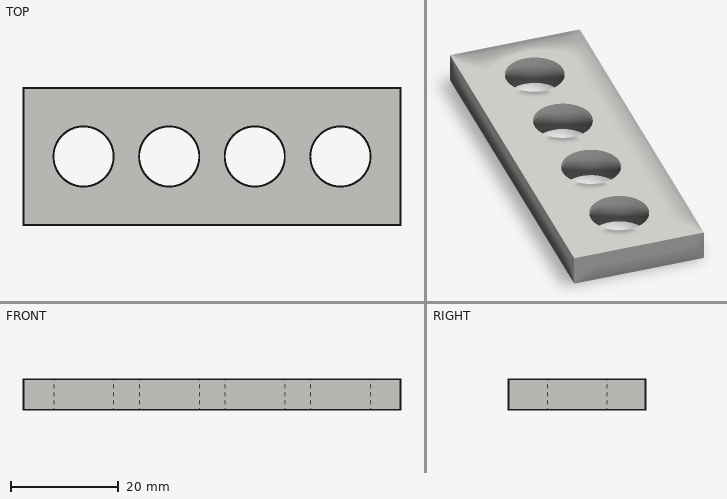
import cadquery as cq

length = 69.85
width = 25.4
thickness = 5.7

hole_count = 4
hole_diameter = 11.1
hole_pitch = 15.85

plate = cq.Workplane("XY").box(length, width, thickness)

result = (
    plate.faces(">Z")
    .workplane()
    .rarray(hole_pitch, 0.7, hole_count, 1)
    .hole(hole_diameter)
)